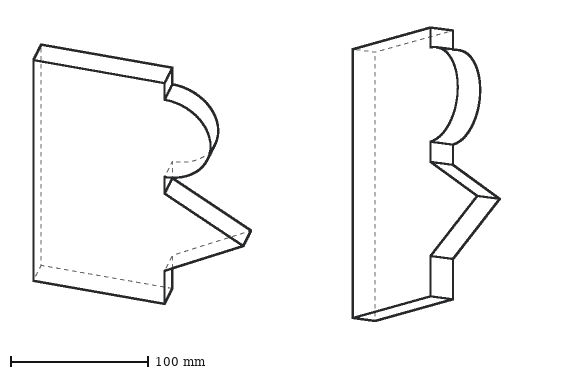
import cadquery as cq

plate_width = 100.0
plate_height = 200.0
thickness = 20.0

lobe_radius = 35.0
lobe_center_z = 150.0

point_length = 60.0
point_bottom_z = 30.0
point_top_z = plate_height / 2
point_tip_z = (point_bottom_z + point_top_z) / 2

outline = (
    cq.Workplane("XZ")
    .moveTo(0, 0)
    .lineTo(plate_width, 0)
    .lineTo(plate_width, point_bottom_z)
    .lineTo(plate_width + point_length, point_tip_z)
    .lineTo(plate_width, point_top_z)
    .lineTo(plate_width, lobe_center_z - lobe_radius)
    .threePointArc(
        (plate_width + lobe_radius, lobe_center_z),
        (plate_width, lobe_center_z + lobe_radius),
    )
    .lineTo(plate_width, plate_height)
    .lineTo(0, plate_height)
    .close()
)

result = outline.extrude(thickness)